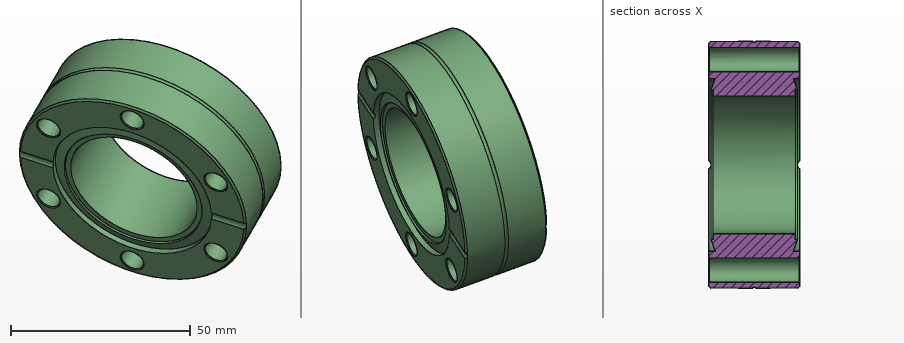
import cadquery as cq
import math

outer_radius = 34.55
width = 25.4
half_width = width / 2
bore_radius = 19.2
rim_chamfer = 0.55

recess_radius = 24.1
tip_radius = 20.95
tip_depth = 0.6
knife_angle = 20.0
inner_wall_taper = 0.15
inner_face_depth = 1.25

rim_groove_width = 1.1
rim_groove_depth = 0.3

bolt_count = 6
bolt_circle_radius = 29.4
bolt_hole_diameter = 6.7
bolt_hole_chamfer = 0.3

leak_groove_width = 2.4
leak_groove_depth = 0.6


def ring_body():
    """Revolve the half section, from middle plane to sealing face, and mirror it."""
    tip_y = half_width - tip_depth
    recess_floor_y = tip_y - (recess_radius - tip_radius) * math.tan(math.radians(knife_angle))
    inner_face_y = half_width - inner_face_depth
    half_section = [
        (bore_radius, 0),
        (bore_radius, inner_face_y),
        (tip_radius - inner_wall_taper, inner_face_y),
        (tip_radius, tip_y),
        (recess_radius, recess_floor_y),
        (recess_radius, half_width),
        (outer_radius - rim_chamfer, half_width),
        (outer_radius, half_width - rim_chamfer),
        (outer_radius, 0),
    ]
    half = cq.Workplane("XY").polyline(half_section).close().revolve(360, (0, 0), (0, 1))
    return half.union(half.mirror("XZ"))


def arc_radius(chord, depth):
    """Radius of the circle whose segment has the given chord and depth."""
    return ((chord / 2) ** 2 + depth**2) / (2 * depth)


def rim_groove_cutter():
    """Torus around the Y axis that dips into the middle of the rim."""
    section_radius = arc_radius(rim_groove_width, rim_groove_depth)
    section_center = outer_radius + section_radius - rim_groove_depth
    section = cq.Workplane("XY").center(section_center, 0).circle(section_radius)
    return section.revolve(360, (-section_center, 0), (-section_center, 1))


def bolt_hole_cutter():
    """Revolve one through hole with chamfered mouths about the Y axis."""
    hole_radius = bolt_hole_diameter / 2
    mouth_radius = hole_radius + bolt_hole_chamfer
    chamfer_end = half_width - bolt_hole_chamfer
    section = [
        (0, -half_width),
        (mouth_radius, -half_width),
        (hole_radius, -chamfer_end),
        (hole_radius, chamfer_end),
        (mouth_radius, half_width),
        (0, half_width),
    ]
    return cq.Workplane("XY").polyline(section).close().revolve(360, (0, 0), (0, 1))


def leak_groove_cutter(face_y):
    """Rod along X whose segment below the face is the groove; it cuts both sides of the ring."""
    rod_radius = arc_radius(leak_groove_width, leak_groove_depth)
    center_offset = half_width + rod_radius - leak_groove_depth
    center_y = math.copysign(center_offset, face_y)
    rod = cq.Workplane("YZ").center(center_y, 0).circle(rod_radius).extrude(outer_radius, both=True)
    recess_keep_out = cq.Workplane("XZ").circle(recess_radius).extrude(width, both=True)
    return rod.cut(recess_keep_out)


result = ring_body().cut(rim_groove_cutter())

for index in range(bolt_count):
    angle = math.radians(90 + index * 360 / bolt_count)
    hole_x = bolt_circle_radius * math.cos(angle)
    hole_z = bolt_circle_radius * math.sin(angle)
    result = result.cut(bolt_hole_cutter().translate((hole_x, 0, hole_z)))

for face_y in (-half_width, half_width):
    result = result.cut(leak_groove_cutter(face_y))